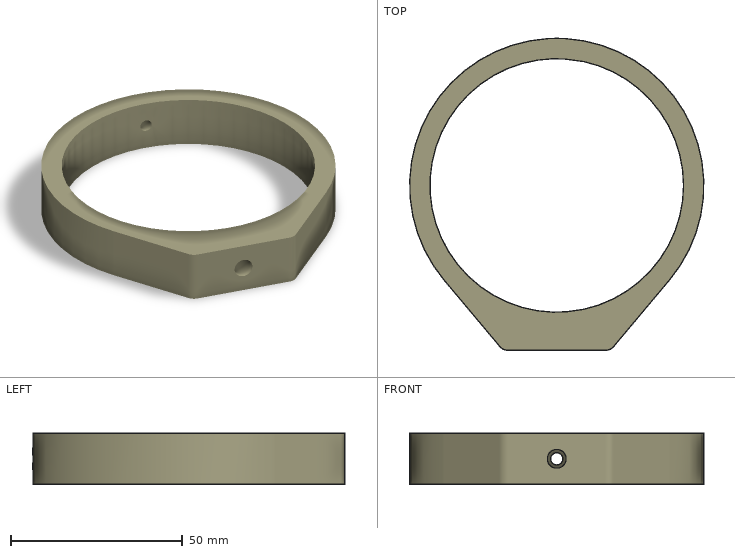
import cadquery as cq
import math

width = 15.0
outer_radius = 43.0
bore_diameter = 74.0

foot_distance = 48.18
flank_normal_angle = math.radians(40.0)
foot_corner_radius = 3.0

foot_hole_diameter = 5.5
back_hole_diameter = 3.5

tangent_x = outer_radius * math.cos(flank_normal_angle)
tangent_y = -outer_radius * math.sin(flank_normal_angle)
foot_half_width = (
    outer_radius - foot_distance * math.sin(flank_normal_angle)
) / math.cos(flank_normal_angle)


def make_body():
    """Extruded ring outline with the lug, before the bore is cut."""
    outline = (
        cq.Workplane("XY")
        .moveTo(tangent_x, tangent_y)
        .threePointArc((0, outer_radius), (-tangent_x, tangent_y))
        .lineTo(-foot_half_width, -foot_distance)
        .lineTo(foot_half_width, -foot_distance)
        .close()
    )
    body = outline.extrude(width / 2, both=True)
    foot_corners = body.faces("<Y").edges("|Z")
    return foot_corners.fillet(foot_corner_radius)


def make_bore():
    return cq.Workplane("XY").circle(bore_diameter / 2).extrude(width / 2, both=True)


def make_radial_hole(diameter, end_y):
    """Hole along Y, running from the ring axis out to end_y."""
    return cq.Workplane("XZ").circle(diameter / 2).extrude(-end_y)


result = (
    make_body()
    .cut(make_bore())
    .cut(make_radial_hole(foot_hole_diameter, -foot_distance))
    .cut(make_radial_hole(back_hole_diameter, outer_radius))
)